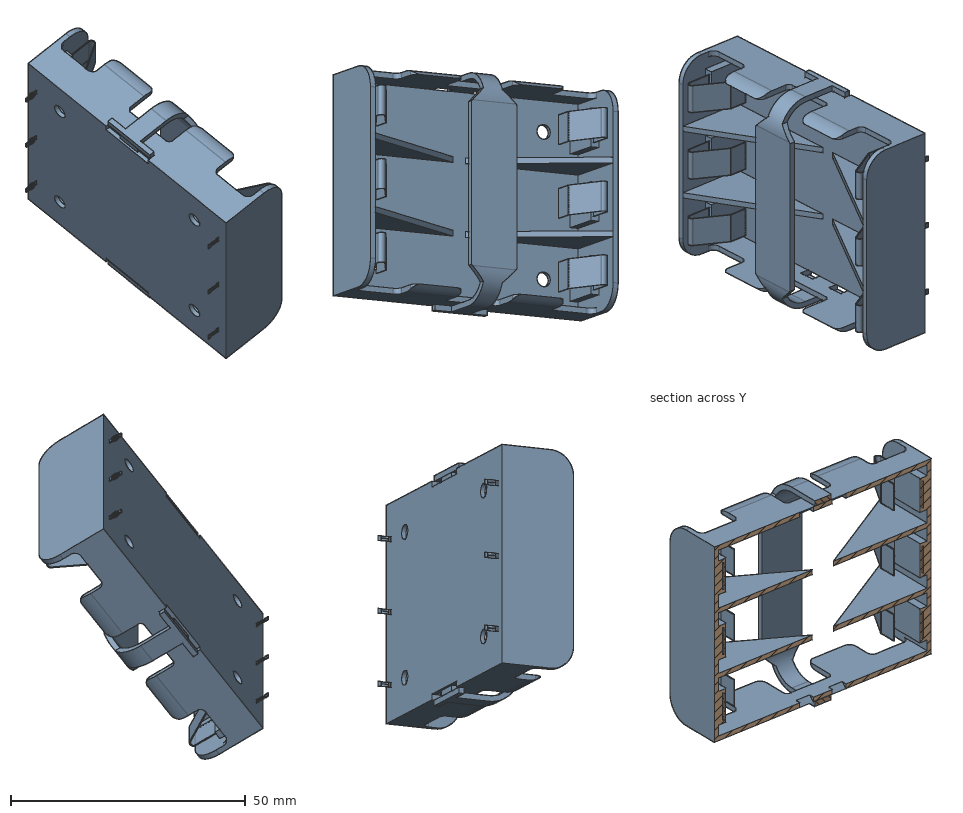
import cadquery as cq
import math


LENGTH = 60.0
WIDTH = 48.0
HEIGHT = 16.75
WALL = 1.25
FLOOR = 1.0
EDGE_RADIUS = 5.4
INNER_X = LENGTH / 2 - WALL
INNER_Z = WIDTH / 2 - WALL
CELL_PITCH = WIDTH / 3

TAB_TOP = HEIGHT - EDGE_RADIUS + math.sqrt(EDGE_RADIUS**2 - (EDGE_RADIUS - WALL) ** 2)
TAB_OUTER_X = 18.35
TAB_INNER_X = 6.35
TAB_RADIUS = 1.75
END_NOTCH_FLOOR = 7.8
END_NOTCH_RADIUS = 1.3
END_CORNER_RADIUS = 1.55
MID_NOTCH_FLOOR = 6.35
MID_NOTCH_RADIUS = 1.0

RIB_THICKNESS = 1.25
RIB_ANGLE = 30.0
BLOCK_DEPTH = 1.9
BLOCK_WIDTH = 8.4
BLOCK_TOP = 10.3
HOLE_DIAMETER = 3.2
HOLE_X = 20.4

STRAP_THICKNESS = 1.25
STRAP_RADIUS = 7.25
STRAP_HALF_WIDTH = 2.3
STRAP_WING_HALF_WIDTH = 5.5
WING_START_Z = 21.0
BAR_HALF_WIDTH = TAB_INNER_X
BAR_BOTTOM = 0.55
BAR_TOP = BAR_BOTTOM + STRAP_THICKNESS
CATCH_HALF_WIDTH = 2.65
STRAP_OUTER_Z = WIDTH / 2 + STRAP_THICKNESS

SHEET = 0.25
CONTACT_WIDTH = 6.5
PLATE_X = 27.6
LOOP_RADIUS = 0.8
LOOP_Y = HEIGHT - LOOP_RADIUS - SHEET / 2
LEAF_ANGLE = math.radians(29.5)
LEG_X = 22.1
LEG_BOTTOM = 4.8
PIN_WIDTH = 1.1
PIN_LENGTH = 3.0
BOW_START = 0.5
BOW_END = 2.3
BOW_HEIGHT = 0.25


def box(x0, x1, y0, y1, z0, z1):
    """Box between two opposite corners."""
    return cq.Workplane("XY").box(x1 - x0, y1 - y0, z1 - z0, centered=False).translate((x0, y0, z0))


def both_ends(shape, plane):
    """The shape together with its mirror image."""
    return shape.union(shape.mirror(plane))


def rounded_block(length, half_width, bottom, top, radius):
    """Block along X whose two upper long edges are rounded."""
    block = box(-length / 2, length / 2, bottom, top, -half_width, half_width)
    return block.edges("|X and >Y").fillet(radius)


def wall_opening():
    """Space above the tabs and notches, across the full width of the tray."""
    tabs = box(-INNER_X, INNER_X, TAB_TOP, HEIGHT, -WIDTH / 2, WIDTH / 2)
    middle = box(-TAB_INNER_X, TAB_INNER_X, MID_NOTCH_FLOOR, HEIGHT, -WIDTH / 2, WIDTH / 2)
    end = box(TAB_OUTER_X, INNER_X, END_NOTCH_FLOOR, HEIGHT, -WIDTH / 2, WIDTH / 2)
    middle = middle.edges("|Z and <Y").fillet(MID_NOTCH_RADIUS)
    end = end.edges("|Z and <Y and <X").fillet(END_NOTCH_RADIUS)
    end = end.edges("|Z and <Y and >X").fillet(END_CORNER_RADIUS)
    opening = tabs.union(middle).union(both_ends(end, "YZ"))
    reach_x = (TAB_OUTER_X + INNER_X) / 2
    low_y = (END_NOTCH_FLOOR + TAB_TOP) / 2
    high_y = (TAB_TOP + HEIGHT) / 2
    tab_corners = cq.selectors.BoxSelector((-reach_x, low_y, -WIDTH), (reach_x, high_y, WIDTH))
    return opening.edges("|Z").edges(tab_corners).fillet(TAB_RADIUS)


def rib_pair(z):
    """Two ribs between neighbouring cells, sloping from the end walls down to the floor."""
    run = (HEIGHT - FLOOR) / math.tan(math.radians(RIB_ANGLE))
    rib = (
        cq.Workplane("XY", origin=(0, 0, z - RIB_THICKNESS / 2))
        .polyline([(INNER_X, FLOOR), (INNER_X, HEIGHT), (INNER_X - run, FLOOR)])
        .close()
        .extrude(RIB_THICKNESS)
    )
    return both_ends(rib, "YZ")


def strap_slot():
    """Slot through the lower edge of the +Z wall, with a 45 degree ceiling and a catch in its middle."""
    slot = (
        cq.Workplane("YZ", origin=(-BAR_HALF_WIDTH, 0, 0))
        .polyline([(0, INNER_Z), (0, WIDTH / 2), (BAR_TOP, WIDTH / 2), (BAR_TOP + WALL, INNER_Z)])
        .close()
        .extrude(2 * BAR_HALF_WIDTH)
    )
    catch = box(-CATCH_HALF_WIDTH, CATCH_HALF_WIDTH, BAR_BOTTOM, HEIGHT, INNER_Z, WIDTH / 2)
    return slot.cut(catch)


def contact_block(z):
    """Block against the +X end wall that holds the lower part of a contact plate."""
    return box(INNER_X - BLOCK_DEPTH, INNER_X, FLOOR, BLOCK_TOP, z - BLOCK_WIDTH / 2, z + BLOCK_WIDTH / 2)


def contact_slot(z):
    """Slot in the +X block for a contact plate and the narrower slot in the floor for its pin."""
    x0 = PLATE_X - SHEET / 2
    x1 = PLATE_X + SHEET / 2
    plate = box(x0, x1, FLOOR, BLOCK_TOP, z - CONTACT_WIDTH / 2, z + CONTACT_WIDTH / 2)
    pin = box(x0, x1, 0, FLOOR, z - PIN_WIDTH / 2, z + PIN_WIDTH / 2)
    return plate.union(pin)


def make_housing():
    tray = rounded_block(LENGTH, WIDTH / 2, 0, HEIGHT, EDGE_RADIUS)
    cavity = box(-INNER_X, INNER_X, FLOOR, HEIGHT, -INNER_Z, INNER_Z)
    tray = tray.cut(cavity).cut(wall_opening())

    for z in (-CELL_PITCH / 2, CELL_PITCH / 2):
        tray = tray.union(rib_pair(z))

    for z in (-CELL_PITCH, 0, CELL_PITCH):
        tray = tray.union(both_ends(contact_block(z), "YZ"))
        tray = tray.cut(both_ends(contact_slot(z), "YZ"))
    hole_places = [(x, z) for x in (-HOLE_X, HOLE_X) for z in (-CELL_PITCH, CELL_PITCH)]
    holes = cq.Workplane("XZ").pushPoints(hole_places).circle(HOLE_DIAMETER / 2).extrude(-FLOOR)
    return tray.cut(holes).cut(both_ends(strap_slot(), "XY"))


def make_strap():
    """Strap bent over the cells, wide in the middle, with a cross bar at each end."""
    length = 2 * STRAP_WING_HALF_WIDTH
    outside = rounded_block(length, STRAP_OUTER_Z, BAR_BOTTOM, HEIGHT, STRAP_RADIUS)
    inside = rounded_block(
        length, WIDTH / 2, BAR_BOTTOM, HEIGHT - STRAP_THICKNESS, STRAP_RADIUS - STRAP_THICKNESS
    )
    wing_end_z = WING_START_Z - (STRAP_WING_HALF_WIDTH - STRAP_HALF_WIDTH)
    quarter = [
        (STRAP_HALF_WIDTH, STRAP_OUTER_Z),
        (STRAP_HALF_WIDTH, WING_START_Z),
        (STRAP_WING_HALF_WIDTH, wing_end_z),
    ]
    right_side = quarter + [(x, -z) for x, z in reversed(quarter)]
    left_side = [(-x, -z) for x, z in right_side]
    outline = cq.Workplane("XZ").polyline(right_side + left_side).close().extrude(-HEIGHT)

    bar = box(-BAR_HALF_WIDTH, BAR_HALF_WIDTH, BAR_BOTTOM, BAR_TOP, WIDTH / 2, STRAP_OUTER_Z)
    bent = outside.cut(inside).intersect(outline)
    return bent.union(both_ends(bar, "XY"))


def sheet_side(offset):
    """Points along one side of the bent sheet: plate top, loop top, loop end, knee and leg end."""
    loop_x = PLATE_X - LOOP_RADIUS
    radius = LOOP_RADIUS + offset
    loop_end_x = loop_x - radius * math.cos(LEAF_ANGLE)
    loop_end_y = LOOP_Y + radius * math.sin(LEAF_ANGLE)
    leg_x = LEG_X - offset
    knee_y = loop_end_y - (loop_end_x - leg_x) / math.tan(LEAF_ANGLE)
    return [
        (PLATE_X + offset, LOOP_Y),
        (loop_x, LOOP_Y + radius),
        (loop_end_x, loop_end_y),
        (leg_x, knee_y),
        (leg_x, LEG_BOTTOM),
    ]


def bowed_strip(direction):
    """Half of the pin's crimp: the +Z half bows toward +X (direction 1), the -Z half toward -X (-1)."""
    middle = -(BOW_START + BOW_END) / 2
    inner_x = PLATE_X - SHEET / 2
    outer_x = PLATE_X + SHEET / 2
    bow = direction * BOW_HEIGHT
    return (
        cq.Workplane("XY")
        .moveTo(inner_x, -BOW_START)
        .threePointArc((inner_x + bow, middle), (inner_x, -BOW_END))
        .lineTo(outer_x, -BOW_END)
        .threePointArc((outer_x + bow, middle), (outer_x, -BOW_START))
        .close()
        .extrude(direction * PIN_WIDTH / 2)
    )


def make_contact():
    """Contact for the +X end, centred on Z = 0: plate, loop, sloping leaf and crimped pin."""
    outer = sheet_side(SHEET / 2)
    inner = sheet_side(-SHEET / 2)
    spring = (
        cq.Workplane("XY", origin=(0, 0, -CONTACT_WIDTH / 2))
        .moveTo(outer[0][0], FLOOR)
        .lineTo(*outer[0])
        .threePointArc(outer[1], outer[2])
        .lineTo(*outer[3])
        .lineTo(*outer[4])
        .lineTo(*inner[4])
        .lineTo(*inner[3])
        .lineTo(*inner[2])
        .threePointArc(inner[1], inner[0])
        .lineTo(inner[0][0], FLOOR)
        .close()
        .extrude(CONTACT_WIDTH)
    )
    x0 = PLATE_X - SHEET / 2
    x1 = PLATE_X + SHEET / 2
    stem = box(x0, x1, -BOW_START, FLOOR, -PIN_WIDTH / 2, PIN_WIDTH / 2)
    tip = box(x0, x1, -PIN_LENGTH, -BOW_END, -PIN_WIDTH / 2, PIN_WIDTH / 2)
    contact = spring.union(stem).union(tip)
    for direction in (-1, 1):
        contact = contact.union(bowed_strip(direction))
    return contact


housing = make_housing()
strap = make_strap()

contact = make_contact()
contacts = []
for z in (-CELL_PITCH, 0, CELL_PITCH):
    right_contact = contact.translate((0, 0, z))
    left_contact = right_contact.mirror("YZ")
    contacts += [right_contact.val(), left_contact.val()]

result = cq.Compound.makeCompound([housing.val(), strap.val(), *contacts])